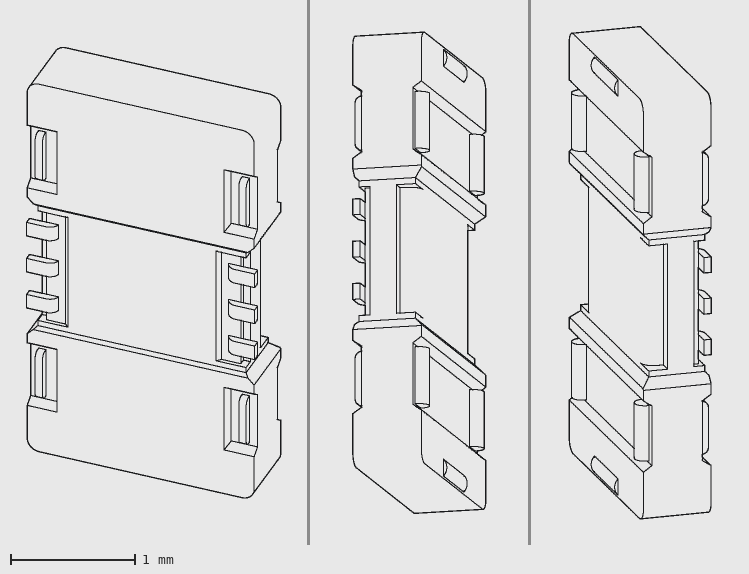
import cadquery as cq
import math


LENGTH = 3.55
WIDTH = 1.97
DEPTH = 0.57
CORNER_RADIUS = 0.105
HALF_LENGTH = LENGTH / 2
HALF_WIDTH = WIDTH / 2

MIDDLE_HALF_LENGTH = 0.58
SIDE_STEP = 0.08
FRONT_STEP = 0.03
BACK_STEP = 0.07
MIDDLE_HALF_WIDTH = HALF_WIDTH - SIDE_STEP
MIDDLE_BACK = DEPTH - BACK_STEP

POCKET_LENGTH = 1.058
POCKET_FLOOR = 0.065
POCKET_FLOOR_EDGE = 0.678
POCKET_SLOPE_WIDTH = 0.035
FRONT_LEDGE = 0.12
FRONT_LEDGE_WIDTH = 0.06
BACK_LEDGE = 0.34
BACK_LEDGE_WIDTH = 0.117
BACK_ROUND_RADIUS = 0.105

PIN_COUNT = 3
PIN_PITCH = 0.348
PIN_WIDTH = 0.13
PIN_TIP = 0.99
PIN_INNER_END = 0.735
PIN_BEND_RADIUS = 0.085

CLIP_STATION = 1.05
STATION_HALF_LENGTH = 0.3
STATION_SLOPE = 0.05

WINDOW_DEPTH = 0.075
WINDOW_INNER_EDGE = 0.725
WINDOW_INNER_SLOPE = 0.032

TIP_LENGTH = 0.447
TIP_THICKNESS = 0.065
TIP_CENTER = 0.885
TIP_ROUND_RADIUS = 0.057
BOW_LENGTH = 0.47
BOW_CENTER = 0.83
BOW_RADIUS = 0.085
BOW_RISE = 0.025

RIDGE_LENGTH = 0.62
RIDGE_WIDTH = 0.14
RIDGE_RISE = 0.03
RIDGE_STATION = 1.685


def along_x(points, start, end):
    """Prism with a (Y, Z) outline running from X = start to X = end."""
    return cq.Workplane("YZ", origin=(start, 0, 0)).polyline(points).close().extrude(end - start)


def along_z(points, length, middle):
    """Prism with an (X, Y) outline, centered lengthwise on Z = middle."""
    start = middle - length / 2
    return cq.Workplane("XY", origin=(0, 0, start)).polyline(points).close().extrude(length)


def box(x_range, y_range, z_range):
    """Block between the given limits."""
    sizes = [high - low for low, high in (x_range, y_range, z_range)]
    corner = (x_range[0], y_range[0], z_range[0])
    return cq.Workplane("XY", origin=corner).box(*sizes, centered=False)


def face_recess(face, floor, half_open, half_floor, middle):
    """Outline of a recess with sloped ends: depth from face to floor first, then Z."""
    return [
        (face, middle - half_open),
        (floor, middle - half_floor),
        (floor, middle + half_floor),
        (face, middle + half_open),
    ]


def both_sides(shape):
    """The shape together with its mirror image across X = 0."""
    return shape.union(shape.mirror("YZ"))


def make_housing():
    """Rounded block with the stepped-in middle."""
    housing = box((-HALF_WIDTH, HALF_WIDTH), (0, DEPTH), (-HALF_LENGTH, HALF_LENGTH))
    housing = housing.edges("|Y").fillet(CORNER_RADIUS)
    for face, floor, step in ((0, FRONT_STEP, FRONT_STEP), (DEPTH, MIDDLE_BACK, BACK_STEP)):
        outline = face_recess(face, floor, MIDDLE_HALF_LENGTH + step, MIDDLE_HALF_LENGTH, 0)
        housing = housing.cut(along_x(outline, -HALF_WIDTH, HALF_WIDTH))
    side_outline = face_recess(
        HALF_WIDTH, MIDDLE_HALF_WIDTH, MIDDLE_HALF_LENGTH + SIDE_STEP, MIDDLE_HALF_LENGTH, 0
    )
    side_notch = cq.Workplane("XZ").polyline(side_outline).close().extrude(-DEPTH)
    return housing.cut(both_sides(side_notch))


def make_contact_pockets():
    """Front pockets with an outer ledge, and rounded ledges along the back corners."""
    front_wall = MIDDLE_HALF_WIDTH - FRONT_LEDGE_WIDTH
    front = along_z(
        [
            (POCKET_FLOOR_EDGE - POCKET_SLOPE_WIDTH, FRONT_STEP),
            (POCKET_FLOOR_EDGE, POCKET_FLOOR),
            (front_wall, POCKET_FLOOR),
            (front_wall, FRONT_LEDGE),
            (MIDDLE_HALF_WIDTH, FRONT_LEDGE),
            (MIDDLE_HALF_WIDTH, FRONT_STEP),
        ],
        POCKET_LENGTH,
        0,
    )
    back_wall = MIDDLE_HALF_WIDTH - BACK_LEDGE_WIDTH
    round_offset = BACK_ROUND_RADIUS * (1 - math.sqrt(0.5))
    back = (
        cq.Workplane("XY", origin=(0, 0, -POCKET_LENGTH / 2))
        .moveTo(MIDDLE_HALF_WIDTH, BACK_LEDGE)
        .lineTo(back_wall, BACK_LEDGE)
        .lineTo(back_wall, MIDDLE_BACK - BACK_ROUND_RADIUS)
        .threePointArc(
            (back_wall - round_offset, MIDDLE_BACK - round_offset),
            (back_wall - BACK_ROUND_RADIUS, MIDDLE_BACK),
        )
        .lineTo(MIDDLE_HALF_WIDTH, MIDDLE_BACK)
        .close()
        .extrude(POCKET_LENGTH)
    )
    return both_sides(front.union(back))


def make_pins():
    """Flat pins lying on the pocket floors, with the inner end bent into the floor."""
    bend_offset = PIN_BEND_RADIUS * (1 - math.sqrt(0.5))
    pin = (
        cq.Workplane("XY", origin=(0, 0, -PIN_WIDTH / 2))
        .moveTo(PIN_TIP, 0)
        .lineTo(PIN_INNER_END + PIN_BEND_RADIUS, 0)
        .threePointArc(
            (PIN_INNER_END + bend_offset, bend_offset),
            (PIN_INNER_END, PIN_BEND_RADIUS),
        )
        .lineTo(PIN_INNER_END + PIN_BEND_RADIUS, PIN_BEND_RADIUS)
        .lineTo(PIN_INNER_END + PIN_BEND_RADIUS, POCKET_FLOOR)
        .lineTo(PIN_TIP, POCKET_FLOOR)
        .close()
        .extrude(PIN_WIDTH)
    )
    pins = cq.Workplane("XY")
    for index in range(PIN_COUNT):
        height = (index - (PIN_COUNT - 1) / 2) * PIN_PITCH
        pins = pins.union(pin.translate((0, 0, height)))
    return both_sides(pins)


def make_clip_recesses(station):
    """Front windows and the back groove that make room for a pair of clips."""
    floor_half_length = STATION_HALF_LENGTH - STATION_SLOPE
    window_ends = face_recess(0, WINDOW_DEPTH, STATION_HALF_LENGTH, floor_half_length, station)
    window = along_x(window_ends, WINDOW_INNER_EDGE, HALF_WIDTH)
    inner_wall = along_z(
        [
            (WINDOW_INNER_EDGE, 0),
            (WINDOW_INNER_EDGE + WINDOW_INNER_SLOPE, WINDOW_DEPTH),
            (HALF_WIDTH, WINDOW_DEPTH),
            (HALF_WIDTH, 0),
        ],
        2 * STATION_HALF_LENGTH,
        station,
    )
    groove_ends = face_recess(DEPTH, MIDDLE_BACK, STATION_HALF_LENGTH, floor_half_length, station)
    groove = along_x(groove_ends, -HALF_WIDTH, HALF_WIDTH)
    return both_sides(window.intersect(inner_wall)).union(groove)


def make_clips(station):
    """Visible ends of a pair of hold-down clips."""
    tip = box(
        (TIP_CENTER - TIP_THICKNESS / 2, TIP_CENTER + TIP_THICKNESS / 2),
        (0, WINDOW_DEPTH),
        (station - TIP_LENGTH / 2, station + TIP_LENGTH / 2),
    )
    tip = tip.edges("|X and <Y").fillet(TIP_ROUND_RADIUS)
    bow_start = station - BOW_LENGTH / 2
    bow_axis = DEPTH + BOW_RISE - BOW_RADIUS
    bow_legs = box(
        (BOW_CENTER - BOW_RADIUS, BOW_CENTER + BOW_RADIUS),
        (MIDDLE_BACK, bow_axis),
        (bow_start, bow_start + BOW_LENGTH),
    )
    bow_round = (
        cq.Workplane("XY", origin=(BOW_CENTER, bow_axis, bow_start))
        .circle(BOW_RADIUS)
        .extrude(BOW_LENGTH)
    )
    return both_sides(tip.union(bow_legs).union(bow_round))


def make_ridge(station):
    """Half-round ridge on the back face."""
    return (
        cq.Workplane("YZ", origin=(-RIDGE_LENGTH / 2, 0, station))
        .moveTo(DEPTH, -RIDGE_WIDTH / 2)
        .threePointArc((DEPTH + RIDGE_RISE, 0), (DEPTH, RIDGE_WIDTH / 2))
        .close()
        .extrude(RIDGE_LENGTH)
    )


result = make_housing().cut(make_contact_pockets()).union(make_pins())
for end in (-1, 1):
    result = result.cut(make_clip_recesses(end * CLIP_STATION))
    result = result.union(make_clips(end * CLIP_STATION))
    result = result.union(make_ridge(end * RIDGE_STATION))